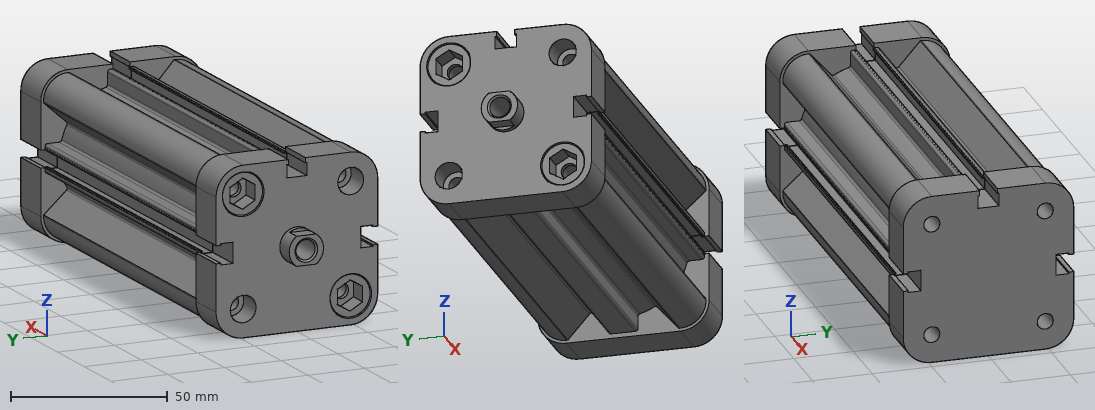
import cadquery as cq
import math

total_length = 153.0
rod_protrusion = 7.0
cap_length = 15.0
tube_front = rod_protrusion + cap_length
tube_rear = total_length - cap_length
tube_length = tube_rear - tube_front

cap_width = 57.0
cap_half = cap_width / 2
bolt_offset = 19.0
cap_corner_radius = cap_half - bolt_offset

cap_slot_mouth_width = 6.0
cap_slot_width = 7.0
cap_slot_depth = 6.0
cap_slot_mouth_depth = 1.7

core_radius = 21.9
column_radius = 8.5
column_face = bolt_offset + column_radius
column_edge = 18.5
valley_edge = 10.9
valley_fillet = 0.8
rib_width = 9.8
rib_top = cap_half - 1.5
rib_fillet = 0.9

tube_slot_width = 6.7
tube_slot_depth = 5.8
lip_gap = 5.4
lip_chamfer = 0.3
lip_tip_height = 0.5
lip_barb_height = 0.5

through_diameter = 5.4
counterbore_diameter = 9.0
counterbore_depth = 9.2

screw_pocket_diameter = 14.7
screw_pocket_depth = 9.2
screw_diameter = 14.0
screw_recess = 0.5
socket_across_flats = 8.9
socket_depth = 6.9

rod_diameter = 12.1
rod_across_flats = 10.0
flat_length = 5.2
thread_bore_diameter = 6.7
thread_mouth_diameter = 8.0
thread_bore_depth = 15.3
drill_tip_angle = 118.0

all_sides = (0, 90, 180, 270)
slotted_sides = (0, 90, 180)

screw_corners = [(bolt_offset, bolt_offset), (-bolt_offset, -bolt_offset)]
plain_corners = [(bolt_offset, -bolt_offset), (-bolt_offset, bolt_offset)]


def section(x):
    """Plane across the cylinder at x, with local axes Y and Z; it extrudes toward +X."""
    return cq.Workplane("YZ", origin=(x, 0, 0))


def bars(x, points, diameter, length):
    """Round bars along X, used to cut holes."""
    return section(x).pushPoints(points).circle(diameter / 2).extrude(length)


def cut_on_sides(body, cutter, sides):
    """Cut a +Y side cutter into each of the given sides."""
    for angle in sides:
        body = body.cut(cutter.rotate((0, 0, 0), (1, 0, 0), angle))
    return body


def slot_cutter(x, half_outline, length):
    """Slot on the +Y side from (Y, Z) points on its +Z half, mirrored about Z = 0."""
    other_half = [(y, -z) for y, z in reversed(half_outline)]
    return section(x).polyline(half_outline + other_half).close().extrude(length)


def make_cap(x):
    cap = section(x).rect(cap_width, cap_width).extrude(cap_length)
    cap = cap.edges("|X").fillet(cap_corner_radius)
    step = cap_half - cap_slot_mouth_depth
    slot = slot_cutter(
        x,
        [
            (cap_half - cap_slot_depth, cap_slot_width / 2),
            (step, cap_slot_width / 2),
            (step, cap_slot_mouth_width / 2),
            (cap_half, cap_slot_mouth_width / 2),
        ],
        cap_length,
    )
    return cut_on_sides(cap, slot, slotted_sides)


def make_valley_cutter():
    """Removes what lies outside the rib, the core and the column faces on the +Y side."""
    rib_half = rib_width / 2
    core_at_rib = math.sqrt(core_radius**2 - rib_half**2)
    core_at_valley = math.sqrt(core_radius**2 - valley_edge**2)
    half_cutter = (
        section(tube_front)
        .moveTo(column_face, 0)
        .lineTo(column_face, column_edge)
        .lineTo(core_at_valley, valley_edge)
        .radiusArc((core_at_rib, rib_half), core_radius)
        .lineTo(rib_top - rib_fillet, rib_half)
        .radiusArc((rib_top, rib_half - rib_fillet), rib_fillet)
        .lineTo(rib_top, 0)
        .close()
        .extrude(tube_length)
    )
    for y, z, radius in (
        (core_at_valley, valley_edge, valley_fillet),
        (core_at_rib, rib_half, rib_fillet),
    ):
        corner = cq.selectors.NearestToPointSelector((tube_front + tube_length / 2, y, z))
        half_cutter = half_cutter.edges(corner).fillet(radius)
    return half_cutter.union(half_cutter.mirror("XY"))


def make_tube():
    tube = section(tube_front).rect(2 * column_face, 2 * column_face).extrude(tube_length)
    tube = tube.edges("|X").fillet(column_radius)
    tube = cut_on_sides(tube, make_valley_cutter(), all_sides)

    lip_top = rib_top - lip_chamfer
    lip_bottom = lip_top - lip_tip_height
    slot = slot_cutter(
        tube_front,
        [
            (cap_half - tube_slot_depth, tube_slot_width / 2),
            (lip_bottom + lip_barb_height, tube_slot_width / 2),
            (lip_bottom, lip_gap / 2),
            (lip_top, lip_gap / 2),
            (rib_top, lip_gap / 2 + lip_chamfer),
        ],
        tube_length,
    )
    return cut_on_sides(tube, slot, slotted_sides)


def make_housing():
    """Both caps and the tube in one piece, with the holes along X."""
    housing = make_cap(rod_protrusion).union(make_tube()).union(make_cap(tube_rear))
    all_corners = screw_corners + plain_corners
    return (
        housing.cut(bars(rod_protrusion, all_corners, through_diameter, total_length - rod_protrusion))
        .cut(bars(rod_protrusion, plain_corners, counterbore_diameter, counterbore_depth))
        .cut(bars(rod_protrusion, screw_corners, screw_pocket_diameter, screw_pocket_depth))
        .cut(bars(rod_protrusion, [(0, 0)], rod_diameter, cap_length))
    )


def make_rod():
    """Rod from its tip to the bottom of its hole in the front cap, with flats and a thread bore."""
    rod = section(0).circle(rod_diameter / 2).extrude(tube_front)
    outside_flats = (
        section(0)
        .rect(rod_diameter, rod_diameter)
        .rect(rod_diameter, rod_across_flats)
        .extrude(flat_length)
    )
    bore_radius = thread_bore_diameter / 2
    mouth_radius = thread_mouth_diameter / 2
    tip_length = bore_radius / math.tan(math.radians(drill_tip_angle / 2))
    thread_bore = (
        cq.Workplane("XY")
        .polyline(
            [
                (0, 0),
                (0, mouth_radius),
                (mouth_radius - bore_radius, bore_radius),
                (thread_bore_depth, bore_radius),
                (thread_bore_depth + tip_length, 0),
            ]
        )
        .close()
        .revolve(360, (0, 0, 0), (1, 0, 0))
    )
    return rod.cut(outside_flats).cut(thread_bore)


def make_screw(y, z):
    """Collar seated on the pocket floor, with a hexagon socket whose corners point along Z."""
    face = rod_protrusion + screw_recess
    height = screw_pocket_depth - screw_recess
    across_corners = socket_across_flats / math.cos(math.pi / 6)
    socket = section(face).polygon(6, across_corners).extrude(socket_depth)
    socket = socket.rotate((0, 0, 0), (1, 0, 0), 90).translate((0, y, z))
    screw = bars(face, [(y, z)], screw_diameter, height)
    return screw.cut(socket).cut(bars(face, [(y, z)], through_diameter, height))


housing = make_housing()
piston_rod = make_rod()
screws = [make_screw(y, z) for y, z in screw_corners]

result = cq.Compound.makeCompound(
    [housing.val(), piston_rod.val(), *[screw.val() for screw in screws]]
)